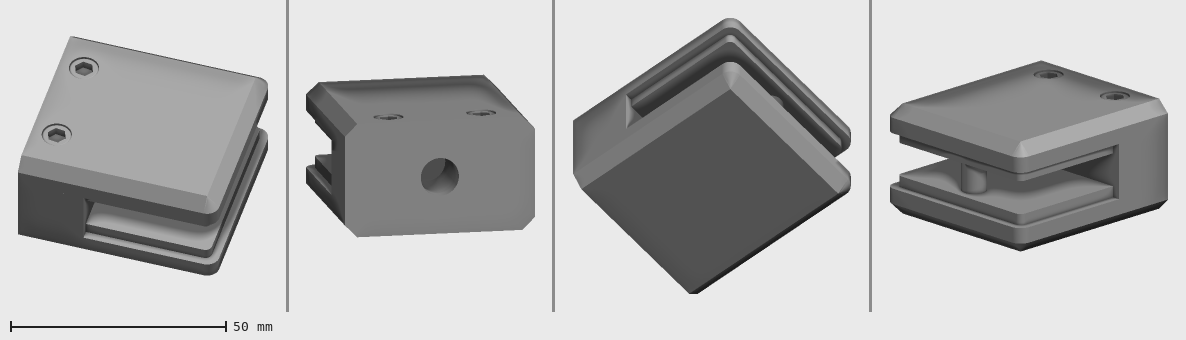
import cadquery as cq
import math

length = 48.0
width = 45.0
height = 27.0
edge_bevel = 2.95

cover_thickness = 6.7
slot_start = 15.95
pad_thickness = 2.75
pad_inset = 1.9
pad_corner_radius = 1.6

passage_diameter = 9.0

pin_diameter = 6.0
pin_x = 41.0

screw_x = 6.0
screw_spacing = 22.0
screw_settings = [(-1, -7.5), (1, -9.0)]
head_diameter = 7.0
head_height = 4.05
head_recess = 0.25
head_rounding = 0.55
socket_flats = 4.0
socket_depth = 2.0
shank_diameter = 4.0
shank_length = 9.6

top_z = height / 2
cover_bottom_z = top_z - cover_thickness
pad_face_z = cover_bottom_z - pad_thickness
head_top_z = top_z - head_recess
head_seat_z = head_top_z - head_height
socket_corners = socket_flats / math.cos(math.pi / 6)


def make_envelope():
    """Outer shape shared by the base and the cover: rounded front corners, bevelled top and bottom."""
    block = cq.Workplane("XY").box(length, width, height).translate((length / 2, 0, 0))
    block = block.edges("|Z and >X").fillet(edge_bevel)
    return block.edges("(>Z or <Z) and (not <X)").chamfer(edge_bevel)


def make_layer(bottom_z, layer_top_z, start_x=0.0):
    """Slab as wide as the block that fills everything between two heights from start_x forward."""
    return cq.Workplane("XY").box(
        length - start_x, width, layer_top_z - bottom_z, centered=(False, True, False)
    ).translate((start_x, 0, bottom_z))


def make_pad(bottom_z):
    """Raised pad on the inner face of a jaw, with rounded front corners."""
    pad_length = length - pad_inset - slot_start
    pad_width = width - 2 * pad_inset
    pad = cq.Workplane("XY").box(pad_length, pad_width, pad_thickness, centered=(False, True, False))
    pad = pad.edges("|Z and >X").fillet(pad_corner_radius)
    return pad.translate((slot_start, 0, bottom_z))


def make_screw_blank(screw_y, top_height):
    """Plain shank and head of one screw, the head reaching up to top_height."""
    seat = cq.Workplane("XY", origin=(screw_x, screw_y, head_seat_z))
    head = seat.circle(head_diameter / 2).extrude(top_height - head_seat_z)
    shank = seat.circle(shank_diameter / 2).extrude(-shank_length)
    return head.union(shank)


def make_screw(screw_y, socket_angle):
    """Screw with a rounded head rim and a hexagonal socket."""
    screw = make_screw_blank(screw_y, head_top_z).faces(">Z").edges().fillet(head_rounding)
    socket = (
        cq.Workplane("XY")
        .polygon(6, socket_corners)
        .extrude(-socket_depth)
        .rotate((0, 0, 0), (0, 0, 1), socket_angle)
        .translate((screw_x, screw_y, head_top_z))
    )
    return screw.cut(socket)


def make_base(envelope):
    """Lower jaw and rear block, with the slot, a pad and the round passage."""
    base = envelope.cut(make_layer(cover_bottom_z, top_z))
    base = base.cut(make_layer(-cover_bottom_z, cover_bottom_z, slot_start))
    base = base.union(make_pad(-cover_bottom_z))
    passage = cq.Workplane("YZ").circle(passage_diameter / 2).extrude(slot_start)
    return base.cut(passage)


def make_cover(envelope):
    """Upper jaw with its pad."""
    return envelope.intersect(make_layer(cover_bottom_z, top_z)).union(make_pad(pad_face_z))


def make_pin():
    """Plain pin that spans the gap between the pads."""
    return cq.Workplane("XY", origin=(pin_x, 0, -pad_face_z)).circle(pin_diameter / 2).extrude(2 * pad_face_z)


envelope = make_envelope()
base = make_base(envelope)
cover = make_cover(envelope)
pin = make_pin()

screws = []
for side, socket_angle in screw_settings:
    screw_y = side * screw_spacing / 2
    screw_hole = make_screw_blank(screw_y, top_z)
    base = base.cut(screw_hole)
    cover = cover.cut(screw_hole)
    screws.append(make_screw(screw_y, socket_angle).solids().val())

result = cq.Compound.makeCompound([base.solids().val(), cover.solids().val(), pin.val(), *screws])